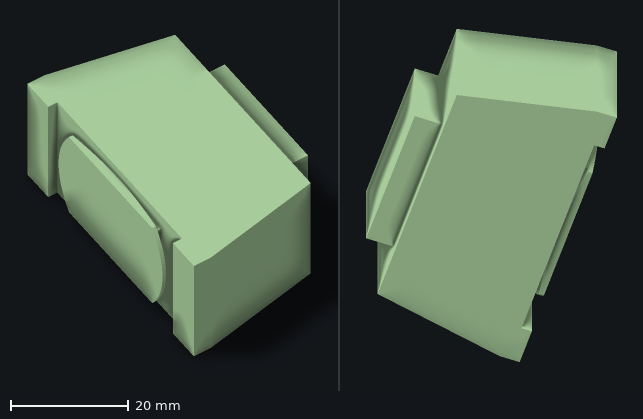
import cadquery as cq

HOUSING_WIDTH = 50.8
HOUSING_BACK_WIDTH = 41.35
HEIGHT = 22.85
HOUSING_DEPTH = 27.3
STRAIGHT_SIDE_DEPTH = 3.6
RECESS_WIDTH = 38.0
RECESS_DEPTH = 1.9

STEM_WIDTH = 25.4
STEM_HEIGHT = 16.45
STEM_PROTRUSION = 4.85
CAP_RADIUS = 15.85
CAP_HEIGHT = 19.0
CAP_RIM_THICKNESS = 0.75
CAP_BACK_RADIUS = STEM_HEIGHT / 2

STEM_END = HOUSING_DEPTH + STEM_PROTRUSION


def box_along_y(width, height, start, end):
    """Box centred on the Y axis, from Y = start to Y = end."""
    return cq.Workplane("XY").box(width, end - start, height).translate((0, (start + end) / 2, 0))


def make_stem():
    """Rectangular stem from the front of the cap to behind the housing."""
    return box_along_y(STEM_WIDTH, STEM_HEIGHT, 0, STEM_END)


def make_housing():
    """Tapered block with the front recess and the through slot for the stem."""
    half_width = HOUSING_WIDTH / 2
    half_back = HOUSING_BACK_WIDTH / 2
    block = (
        cq.Workplane("XY")
        .polyline([
            (-half_width, 0),
            (half_width, 0),
            (half_width, STRAIGHT_SIDE_DEPTH),
            (half_back, HOUSING_DEPTH),
            (-half_back, HOUSING_DEPTH),
            (-half_width, STRAIGHT_SIDE_DEPTH),
        ])
        .close()
        .extrude(HEIGHT / 2, both=True)
    )
    recess = box_along_y(RECESS_WIDTH, HEIGHT, 0, RECESS_DEPTH)
    return block.cut(recess).cut(make_stem())


def make_cap():
    """Disc with a conical back, cut flat above and below."""
    disc = (
        cq.Workplane("XY")
        .polyline([
            (0, 0),
            (CAP_RADIUS, 0),
            (CAP_RADIUS, CAP_RIM_THICKNESS),
            (CAP_BACK_RADIUS, RECESS_DEPTH),
            (0, RECESS_DEPTH),
        ])
        .close()
        .revolve(360, (0, 0, 0), (0, 1, 0))
    )
    return disc.intersect(box_along_y(2 * CAP_RADIUS, CAP_HEIGHT, 0, RECESS_DEPTH))


def make_button():
    """Cap and stem as one solid."""
    return make_stem().union(make_cap())


housing = make_housing()
button = make_button()
result = cq.Compound.makeCompound([housing.solids().val(), button.solids().val()])